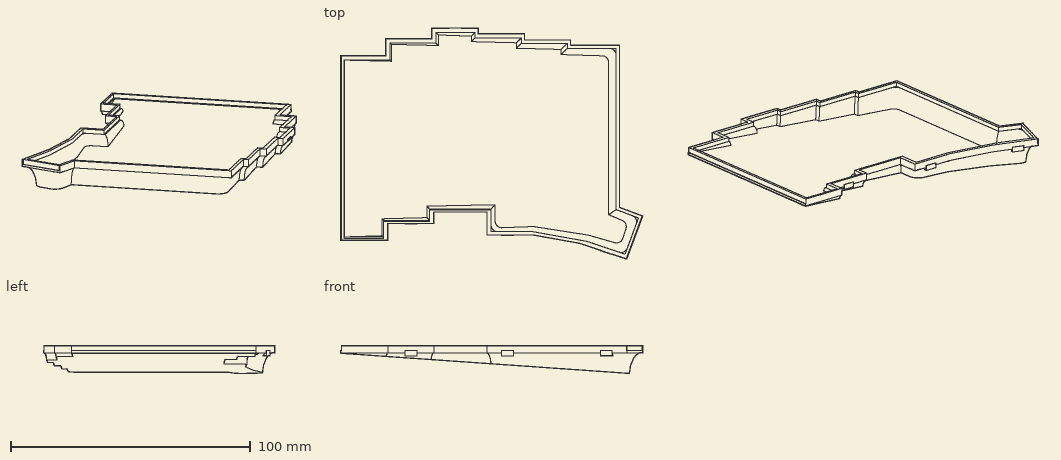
import cadquery as cq
import math

rim_height = 3.0
tilt = math.radians(4)
floor_thickness = 1.3
flare_depth_at_left = 0.3
flare_slope = 0.37
flare_sharpness = 1.3
flare_steps = 3
inner_radius = 2.8
outer_radius = 4.3
cut_margin = 1.3

wall = 1.4
narrow_wall = 0.9
wide_wall = 1.8

outline = [
    (0, 7.8, wall, False),
    (0, 85.0, wide_wall, False),
    (18.8, 85.0, wide_wall, False),
    (18.8, 92.0, wide_wall, False),
    (38.0, 92.0, wide_wall, False),
    (38.0, 96.4, wide_wall, False),
    (57.5, 96.4, wall, False),
    (57.5, 94.2, wide_wall, False),
    (76.8, 94.2, wall, False),
    (76.8, 91.5, wall, False),
    (95.9, 91.5, wall, False),
    (95.9, 89.4, wall, False),
    (116.3, 89.4, wall, True),
    (116.3, 21.7, wall, False),
    (126, 18.0, wall, True),
    (119.4, 0, wide_wall, True),
    (99.8, 6.5, wall, False),
    (80.2, 10.1, wall, False),
    (61.0, 10.1, wide_wall, True),
    (61.0, 19.7, narrow_wall, False),
    (38.8, 19.7, wide_wall, False),
    (38.8, 14.9, narrow_wall, False),
    (19.7, 14.9, wide_wall, False),
    (19.7, 7.8, narrow_wall, False),
]

nub_length = 5.0
front_nub_height = 2.1
nub_top = -2.1
back_nub_height = rim_height + nub_top
nub_reach = 0.1
nub_root = 1.3
nubs = [
    (21, 0.5, front_nub_height),
    (17, 0.55, front_nub_height),
    (15, 0.44, front_nub_height),
    (5, 0.5, back_nub_height),
]

setback = 0.3
setback_height = 2.1
end_margin = 0.5
set_back_edges = [(0, 0), (14, end_margin)]


def corner(index):
    return outline[index % len(outline)][:2]


def edge_direction(index):
    (x0, y0), (x1, y1) = corner(index), corner(index + 1)
    length = math.hypot(x1 - x0, y1 - y0)
    return (x1 - x0) / length, (y1 - y0) / length


def inset_corner(index, inset_before, inset_after):
    """Corner where the two neighbouring edges meet after moving into the part."""
    x, y = corner(index)
    ax, ay = edge_direction(index - 1)
    bx, by = edge_direction(index)
    turn = ax * by - ay * bx
    slide_b = -inset_before / turn
    slide_a = inset_after / turn
    return x + slide_a * ax + slide_b * bx, y + slide_a * ay + slide_b * by


def flare_depth(x):
    return flare_depth_at_left + x * math.tan(tilt)


def rounding_arc(index, x, y, radius):
    """Start, middle and end of the arc that rounds a corner lying at x, y."""
    ax, ay = edge_direction(index - 1)
    bx, by = edge_direction(index)
    half_turn = math.acos(ax * bx + ay * by) / 2
    setoff = radius * math.tan(half_turn)
    toward_centre = radius / math.cos(half_turn) - radius
    inward_x, inward_y = bx - ax, by - ay
    scale = toward_centre / math.hypot(inward_x, inward_y)
    return [
        (x - setoff * ax, y - setoff * ay),
        (x + scale * inward_x, y + scale * inward_y),
        (x + setoff * bx, y + setoff * by),
    ]


def level_wire(top, sweep, inside):
    """Closed outline of the flare part way down: sweep 0 is at the rim, 90 degrees at the floor."""
    radius = inner_radius if inside else outer_radius
    down = 1 - math.cos(sweep)
    inward = math.sin(sweep) ** flare_sharpness

    def on_level(x, y):
        return cq.Vector(x, y, top - down * flare_depth(x))

    stretches = []
    for index, (x, _, wall_after, rounded) in enumerate(outline):
        flare = inward * flare_slope * flare_depth(x)
        before = flare + (max(wall, outline[index - 1][2]) if inside else 0)
        after = flare + (max(wall, wall_after) if inside else 0)
        px, py = inset_corner(index, before, after)
        points = rounding_arc(index, px, py, radius) if rounded else [(px, py)]
        stretches.append([on_level(*point) for point in points])

    edges = []
    for points, following in zip(stretches, stretches[1:] + stretches[:1]):
        if len(points) > 1:
            edges.append(cq.Edge.makeThreePointArc(*points))
        edges.append(cq.Edge.makeLine(points[-1], following[0]))
    return cq.Wire.assembleEdges(edges)


def flare(top, inside):
    sweeps = [math.pi / 2 * step / flare_steps for step in range(flare_steps + 1)]
    return cq.Solid.makeLoft([level_wire(top, sweep, inside) for sweep in sweeps], False)


def prism(bottom, top, inside):
    points = []
    for index in range(len(outline)):
        before = outline[index - 1][2] if inside else 0
        after = outline[index][2] if inside else 0
        points.append(inset_corner(index, before, after))
    return cq.Workplane().workplane(offset=bottom).polyline(points).close().extrude(top - bottom)


def box_on_edge(index, place, length, outward, inward, bottom, height):
    """Box along a rim edge, from `outward` outside the rim face to `inward` inside it."""
    x0, y0 = corner(index)
    x1, y1 = corner(index + 1)
    dx, dy = edge_direction(index)
    middle = (x0 + place * (x1 - x0), y0 + place * (y1 - y0), bottom)
    plane = cq.Plane(origin=middle, xDir=(dx, dy, 0), normal=(0, 0, 1))
    return (
        cq.Workplane(plane)
        .center(0, (outward - inward) / 2)
        .rect(length, outward + inward)
        .extrude(height)
    )


body = prism(-rim_height, 0, False).union(cq.Workplane(flare(-rim_height, False)))

cavity_turn = floor_thickness - rim_height
body = body.cut(prism(cavity_turn, cut_margin, True))
body = body.cut(cq.Workplane(flare(cavity_turn, True)))

for edge, place, height in nubs:
    body = body.union(
        box_on_edge(edge, place, nub_length, nub_reach, nub_root, nub_top - height, height)
    )

for edge, margin in set_back_edges:
    (x0, y0), (x1, y1) = corner(edge), corner(edge + 1)
    length = math.hypot(x1 - x0, y1 - y0) - 2 * margin
    body = body.cut(
        box_on_edge(edge, 0.5, length, cut_margin, setback, -setback_height, setback_height + cut_margin)
    )

result = body